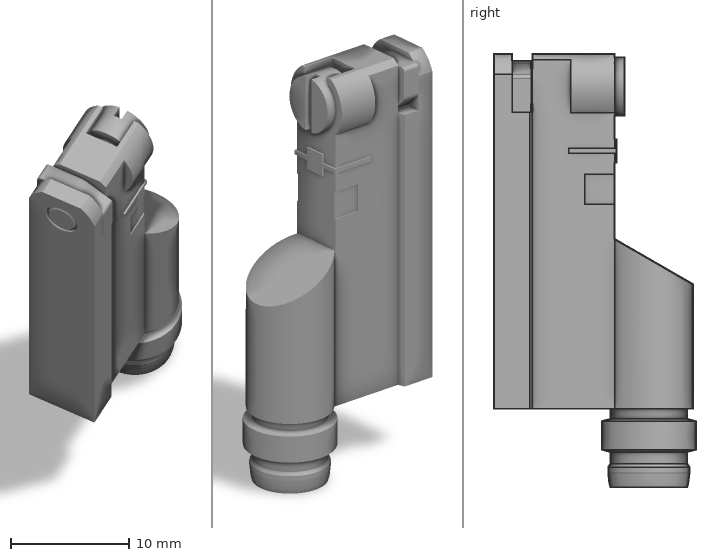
import cadquery as cq
import math


housing_height = 30.0
housing_width = 5.0
housing_back_y = -2.9
housing_front_y = -9.85

pivot_z = 27.26
boss_radius = 3.35
boss_end_y = -6.6

screw_dia = 5.0
screw_head_y = -2.05
screw_end_y = -5.0
driver_slot_width = 0.75
driver_slot_depth = 1.0
pin_dia = 3.0
pin_chamfer = 0.3
top_slot_end_y = -5.95

lever_width = 6.28
lever_front_y = -13.1
lever_back_y = -10.06
lever_head_radius = 3.3
lever_step_y = -11.55
lever_ledge_z = 25.08

cam_width = 6.36
cam_back_y = -9.95
cam_top_radius = 2.17
cam_top_slope = 25.0
cam_corner_radius = 0.35
cam_bevel_z = 26.52
cam_bottom_z = 25.32
cam_bevel_radius = 0.6

sleeve_radius = 3.75
sleeve_rear_z = 10.52
sleeve_slope = 30.0

plug_bottom_z = -6.65
neck_radius = 3.25
collar_radius = 4.0
collar_top_z = -1.05
collar_bottom_z = -3.45
collar_cone_height = 0.2
rib_radius = 3.45
rib_cone_top_z = -4.65
rib_top_z = -4.95
rib_bottom_z = -5.4

band_proud = 0.15
band_back_y = -2.72
band_front_y = -6.75
band_height = 0.4
band_z = 21.81
pad_size = 2.0
recess_top_z = 19.82
recess_bottom_z = 17.3
recess_front_y = -5.4
recess_depth = 0.1


def block(width, y_start, y_end, z_start, z_end):
    """Box centred on X = 0 between the given Y and Z limits."""
    size_y = abs(y_end - y_start)
    size_z = z_end - z_start
    centre = (0, (y_start + y_end) / 2, (z_start + z_end) / 2)
    return cq.Workplane("XY").box(width, size_y, size_z).translate(centre)


def cylinder_along_y(radius, y_back, y_front):
    """Cylinder on the pivot axis, running from y_back toward -Y."""
    plane = cq.Workplane("XZ", origin=(0, y_back, pivot_z))
    return plane.circle(radius).extrude(y_back - y_front)


def pivot_rounding(radius, y_back, y_front):
    """Upright envelope, twice the radius wide, whose top is round about the pivot."""
    lower = block(2 * radius, y_back, y_front, 0, pivot_z)
    return lower.union(cylinder_along_y(radius, y_back, y_front))


def make_housing():
    """Flat-sided housing with a round boss, its top cut level and slotted to show screw and pin."""
    body = block(housing_width, housing_back_y, housing_front_y, 0, housing_height)
    boss = cylinder_along_y(boss_radius, housing_back_y, boss_end_y)
    body = body.intersect(pivot_rounding(boss_radius, housing_back_y, housing_front_y)).union(boss)
    below_top = block(2 * boss_radius, housing_back_y, housing_front_y, 0, housing_height)
    body = body.intersect(below_top)
    top_slot = block(pin_dia, housing_back_y, top_slot_end_y, pivot_z, housing_height)
    return body.cut(top_slot)


def make_lever():
    """Plate with tapered rear edges, a rounded head and a stepped space for the cam."""
    half = lever_width / 2
    half_housing = housing_width / 2
    plate = (
        cq.Workplane("XY")
        .polyline([
            (-half, lever_front_y),
            (half, lever_front_y),
            (half, lever_back_y),
            (half_housing, housing_front_y),
            (-half_housing, housing_front_y),
            (-half, lever_back_y),
        ])
        .close()
        .extrude(housing_height)
    )
    plate = plate.intersect(pivot_rounding(lever_head_radius, housing_front_y, lever_front_y))
    head_space = block(lever_width, housing_front_y, lever_step_y, lever_ledge_z, housing_height)
    return plate.cut(head_space)


def make_cam():
    """Cam with a flat top that slopes away to +X and a bevelled lower -X corner."""
    cam_left_x = -cam_width / 2
    cam_right_x = cam_width / 2
    slope = math.radians(cam_top_slope)
    top_z = pivot_z + cam_top_radius
    tangent_x = cam_top_radius * math.sin(slope)
    tangent_z = pivot_z + cam_top_radius * math.cos(slope)
    arc_mid_x = cam_top_radius * math.sin(slope / 2)
    arc_mid_z = pivot_z + cam_top_radius * math.cos(slope / 2)
    right_z = tangent_z - (cam_right_x - tangent_x) * math.tan(slope)
    bevel_x = cam_left_x + cam_bevel_z - cam_bottom_z
    cam = (
        cq.Workplane("XZ", origin=(0, cam_back_y, 0))
        .moveTo(cam_left_x, top_z)
        .lineTo(0, top_z)
        .threePointArc((arc_mid_x, arc_mid_z), (tangent_x, tangent_z))
        .lineTo(cam_right_x, right_z)
        .lineTo(cam_right_x, lever_ledge_z)
        .lineTo(bevel_x, lever_ledge_z)
        .lineTo(bevel_x, cam_bottom_z)
        .lineTo(cam_left_x, cam_bevel_z)
        .close()
        .extrude(cam_back_y - lever_step_y)
    )
    mid_y = (cam_back_y + lever_step_y) / 2
    corners = (
        (cam_left_x, top_z, cam_corner_radius),
        (cam_right_x, right_z, cam_corner_radius),
        (cam_left_x, cam_bevel_z, cam_bevel_radius),
    )
    for x, z, radius in corners:
        corner_edge = cq.selectors.NearestToPointSelector((x, mid_y, z))
        cam = cam.edges(corner_edge).fillet(radius)
    return cam


def make_screw():
    """Cylindrical screw with a driver slot across its +Y end."""
    screw = cylinder_along_y(screw_dia / 2, screw_head_y, screw_end_y)
    driver_slot = block(
        driver_slot_width,
        screw_head_y,
        screw_head_y - driver_slot_depth,
        pivot_z - screw_dia / 2,
        pivot_z + screw_dia / 2,
    )
    return screw.cut(driver_slot)


def make_pin():
    """Pin from the screw to the lever face, chamfered at its free end."""
    pin = cylinder_along_y(pin_dia / 2, screw_end_y, lever_front_y)
    return pin.faces("<Y").edges().chamfer(pin_chamfer)


def make_sleeve():
    """Round sleeve with a top face that rises toward the housing."""
    rise = 2 * sleeve_radius * math.tan(math.radians(sleeve_slope))
    side = (
        cq.Workplane("YZ", origin=(-sleeve_radius, 0, 0))
        .polyline([
            (sleeve_radius, 0),
            (sleeve_radius, sleeve_rear_z),
            (-sleeve_radius, sleeve_rear_z + rise),
            (-sleeve_radius, 0),
        ])
        .close()
        .extrude(2 * sleeve_radius)
    )
    return cq.Workplane("XY").circle(sleeve_radius).extrude(sleeve_rear_z + rise).intersect(side)


def make_plug():
    """Turned plug: neck, collar with shallow conical faces, retaining rib and tapered nose."""
    nose_mid_z = (rib_bottom_z + plug_bottom_z) / 2
    nose_mid_radius = rib_radius - (rib_radius - neck_radius) / 4
    return (
        cq.Workplane("XZ")
        .moveTo(0, 0)
        .lineTo(neck_radius, 0)
        .lineTo(neck_radius, collar_top_z + collar_cone_height)
        .lineTo(collar_radius, collar_top_z)
        .lineTo(collar_radius, collar_bottom_z)
        .lineTo(neck_radius, collar_bottom_z - collar_cone_height)
        .lineTo(neck_radius, rib_cone_top_z)
        .lineTo(rib_radius, rib_top_z)
        .lineTo(rib_radius, rib_bottom_z)
        .threePointArc((nose_mid_radius, nose_mid_z), (neck_radius, plug_bottom_z))
        .lineTo(0, plug_bottom_z)
        .close()
        .revolve(360, (0, 0, 0), (0, 1, 0))
    )


def make_marks():
    """Thin band around the housing and a square pad on its back face."""
    band_width = housing_width + 2 * band_proud
    half_height = band_height / 2
    band = block(band_width, band_back_y, band_front_y, band_z - half_height, band_z + half_height)
    pad_bottom_z = band_z - pad_size / 2
    pad = block(pad_size, band_back_y, housing_back_y, pad_bottom_z, pad_bottom_z + pad_size)
    return band.union(pad)


def make_side_recesses():
    """Two shallow pockets, one in each side of the housing."""
    across = block(housing_width, housing_back_y, recess_front_y, recess_bottom_z, recess_top_z)
    core = block(
        housing_width - 2 * recess_depth, housing_back_y, recess_front_y, recess_bottom_z, recess_top_z
    )
    return across.cut(core)


housing = make_housing().cut(make_side_recesses())
pin_hole = cylinder_along_y(pin_dia / 2, housing_front_y, lever_front_y)
lever = make_lever().union(make_cam()).cut(pin_hole)

result = housing.union(lever)
for piece in (make_pin(), make_screw(), make_sleeve(), make_plug(), make_marks()):
    result = result.union(piece)